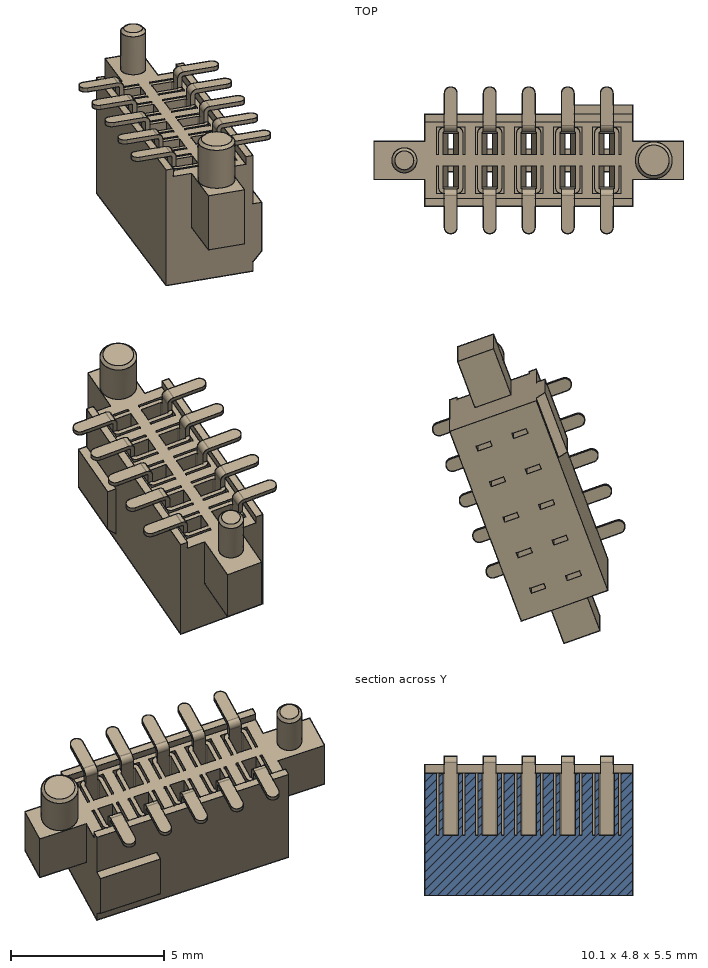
import cadquery as cq

overall_length = 10.1
body_length = 6.8
body_depth = 3.01
seat_height = 4.0
rail_height = 0.28
rail_width = 0.25
ear_depth = 1.25
ear_height = 2.0

key_start_x = 1.27
key_projection = 0.3
key_top = 2.49
key_taper_top = 0.7
key_taper_bottom = 0.34

peg_height = 1.5
small_peg_x = -4.06
large_peg_x = 4.08
peg_chamfer = 0.1
small_peg_diameter = 0.82
large_peg_diameter = 1.2

contacts_per_row = 5
pitch = 1.27
metal_thickness = 0.15
contact_back_y = 1.08
contact_inner_y = contact_back_y - metal_thickness
tail_width = 0.42
tail_span = 4.8
tail_reach = tail_span / 2
tail_rise = 0.56
tail_top = seat_height + tail_rise
tail_bend_radius = 0.21

cavity_near_y = 0.19
pocket_width = 0.93
contact_width = 0.79
contact_corner_radius = 0.18
well_width = 0.5
well_corner_radius = (well_width - tail_width) / 2
well_depth = 2.02

slot_width = 0.17
slot_near_y = 0.37
slot_far_y = 0.87
arm_drop = 1.0


def block(x_range, y_range, z_range):
    """Axis-aligned box between the given limits."""
    sizes = [high - low for low, high in (x_range, y_range, z_range)]
    corner = (x_range[0], y_range[0], z_range[0])
    return cq.Workplane("XY").box(*sizes, centered=False).translate(corner)


def centred_block(length, y_range, z_range):
    """Box of the given length, centred on X = 0."""
    return block((-length / 2, length / 2), y_range, z_range)


def make_housing():
    half_depth = body_depth / 2
    housing = centred_block(body_length, (-half_depth, half_depth), (0, seat_height + rail_height))
    channel_half = half_depth - rail_width
    channel = centred_block(
        body_length, (-channel_half, channel_half), (seat_height, seat_height + rail_height)
    )
    ears = centred_block(
        overall_length, (-ear_depth / 2, ear_depth / 2), (seat_height - ear_height, seat_height)
    )
    return housing.cut(channel).union(ears).union(make_key())


def make_key():
    wall_y = body_depth / 2
    face_y = wall_y + key_projection
    profile = [
        (wall_y, key_taper_bottom),
        (face_y, key_taper_top),
        (face_y, key_top),
        (wall_y, key_top),
    ]
    key_length = body_length / 2 - key_start_x
    return cq.Workplane("YZ", origin=(key_start_x, 0, 0)).polyline(profile).close().extrude(key_length)


def make_peg(x, diameter):
    peg = cq.Workplane("XY", origin=(x, 0, seat_height)).circle(diameter / 2).extrude(peg_height)
    return peg.faces(">Z").chamfer(peg_chamfer)


def make_cavity():
    """Everything removed around one contact of the +Y row, at X = 0."""
    well_floor = seat_height - well_depth
    arm_bottom = well_floor - arm_drop
    z_range = (well_floor, seat_height)

    pocket = centred_block(pocket_width, (cavity_near_y, contact_back_y), z_range)
    contact = centred_block(contact_width, (cavity_near_y, contact_back_y), z_range)
    contact = contact.edges("|Z and >Y").fillet(contact_corner_radius)
    clearance = pocket.cut(contact)

    well = centred_block(well_width, (cavity_near_y, contact_inner_y), z_range)
    well = well.edges("|Z and >Y").fillet(well_corner_radius)

    throat_profile = [
        (-well_width / 2, well_floor),
        (-slot_width / 2, arm_bottom),
        (slot_width / 2, arm_bottom),
        (well_width / 2, well_floor),
    ]
    throat = cq.Workplane("XZ", origin=(0, slot_far_y, 0)).polyline(throat_profile).close()
    throat = throat.extrude(slot_far_y - cavity_near_y)
    slot = centred_block(slot_width, (slot_near_y, slot_far_y), (0, arm_bottom))
    return clearance.union(well).union(throat).union(slot)


def make_tail():
    """L-shaped solder tail of one contact of the +Y row, at X = 0."""
    root_z = seat_height - well_depth
    tail_underside = tail_top - metal_thickness
    inner_radius = tail_bend_radius - metal_thickness
    profile = [
        (contact_inner_y, root_z),
        (contact_inner_y, tail_top),
        (tail_reach, tail_top),
        (tail_reach, tail_underside),
        (contact_back_y, tail_underside),
        (contact_back_y, root_z),
    ]
    tail = cq.Workplane("YZ", origin=(-tail_width / 2, 0, 0)).polyline(profile).close().extrude(tail_width)
    outer_bend = cq.selectors.NearestToPointSelector((0, contact_inner_y, tail_top))
    inner_bend = cq.selectors.NearestToPointSelector((0, contact_back_y, tail_underside))
    tail = tail.edges(outer_bend).fillet(tail_bend_radius)
    tail = tail.edges(inner_bend).fillet(inner_radius)

    plan_start = contact_inner_y
    plan_end = tail_reach - tail_width / 2
    plan = (
        cq.Workplane("XY", origin=(0, 0, root_z))
        .moveTo(-tail_width / 2, plan_start)
        .lineTo(-tail_width / 2, plan_end)
        .threePointArc((0, tail_reach), (tail_width / 2, plan_end))
        .lineTo(tail_width / 2, plan_start)
        .close()
        .extrude(tail_top - root_z)
    )
    return tail.intersect(plan)


def both_rows(feature):
    """Copies of a +Y row feature at every contact position."""
    copies = []
    for index in range(contacts_per_row):
        x = (index - (contacts_per_row - 1) / 2) * pitch
        placed = feature.translate((x, 0, 0))
        copies += [placed, placed.mirror("XZ")]
    return copies


result = make_housing()
result = result.union(make_peg(small_peg_x, small_peg_diameter))
result = result.union(make_peg(large_peg_x, large_peg_diameter))
for cavity in both_rows(make_cavity()):
    result = result.cut(cavity)
for tail in both_rows(make_tail()):
    result = result.union(tail)